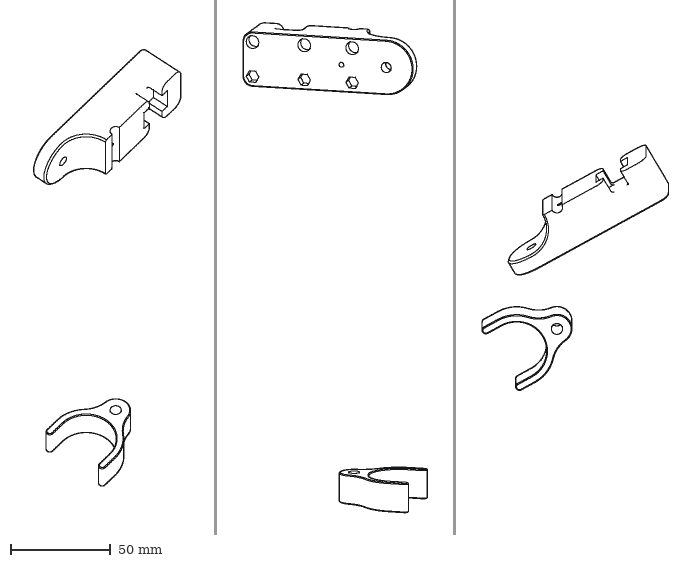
import cadquery as cq
import math

OVERALL_HEIGHT = 243.0
HINGE_DISTANCE = 23.3
HINGE_HOLE_DIAMETER = 5.5

BLOCK_THICKNESS = 23.0
BLOCK_HEIGHT = 28.0
BLOCK_REACH = 74.8
BLOCK_CORNER_RADIUS = 5.0
CRADLE_RADIUS = 15.0
BLOCK_EDGE_CHAMFER = 0.5
CRADLE_CHAMFER = 1.0

SLOT_WIDTH = 10.0
SLOT_DEPTH = 9.0
SLOT_CENTER_FROM_END = 20.0
SLOT_CORNER_RADIUS = 1.2
SLOT_LIP_RADIUS = 4.1
SLOT_RECESS_HEIGHT = 13.0

POCKET_DIAMETER = 6.5
POCKET_DEPTH = 5.0
POCKET_INSET = 5.0
FIRST_POCKET_SPACING = 27.0
SECOND_POCKET_SPACING = 25.0
PILOT_DIAMETER = 2.5
SCREW_DIAMETER = 5.0

CLIP_HEIGHT = 15.0
CLIP_BORE_RADIUS = 15.0
CLIP_WALL = 4.0
CLIP_LEG_LENGTH = 10.0
LUG_RADIUS = 7.5
LUG_BLEND_RADIUS = 16.0
CLIP_EDGE_CHAMFER = 0.5

MARGIN = 0.2

BLOCK_TOP = OVERALL_HEIGHT
BLOCK_BOTTOM = BLOCK_TOP - BLOCK_HEIGHT
BLOCK_MIDDLE = BLOCK_TOP - BLOCK_HEIGHT / 2
BLOCK_END_RADIUS = BLOCK_HEIGHT / 2
CLIP_OUTER_RADIUS = CLIP_BORE_RADIUS + CLIP_WALL


def hole_through_block(y, diameter):
    """Cylinder along X through the block at half its height."""
    return (
        cq.Workplane("YZ", origin=(-BLOCK_THICKNESS, y, BLOCK_MIDDLE))
        .circle(diameter / 2)
        .extrude(BLOCK_THICKNESS)
    )


def block_blank():
    """Bar with a full round end and two rounded corners."""
    square_end = (
        cq.Workplane("YZ", origin=(-BLOCK_THICKNESS, 0, 0))
        .moveTo(0, BLOCK_BOTTOM)
        .lineTo(BLOCK_REACH, BLOCK_BOTTOM)
        .lineTo(BLOCK_REACH, BLOCK_TOP)
        .lineTo(0, BLOCK_TOP)
        .threePointArc((-BLOCK_END_RADIUS, BLOCK_MIDDLE), (0, BLOCK_BOTTOM))
        .close()
        .extrude(BLOCK_THICKNESS)
    )
    rounded = square_end.edges("|X and >Y").fillet(BLOCK_CORNER_RADIUS)
    return rounded.faces("<X").chamfer(BLOCK_EDGE_CHAMFER)


def cut_cradle(body):
    """Quarter-round cradle with a straight run, open toward the round end, with chamfered edges."""
    diagonal = CRADLE_RADIUS * math.sqrt(0.5)
    cradle = (
        cq.Workplane("XY", origin=(0, 0, BLOCK_BOTTOM))
        .moveTo(0, CRADLE_RADIUS)
        .threePointArc((-diagonal, diagonal), (-CRADLE_RADIUS, 0))
        .lineTo(-CRADLE_RADIUS, -BLOCK_END_RADIUS)
        .lineTo(0, -BLOCK_END_RADIUS)
        .close()
        .extrude(BLOCK_HEIGHT)
    )
    cradle_edges = cq.selectors.BoxSelector(
        (-CRADLE_RADIUS - MARGIN, -BLOCK_END_RADIUS - MARGIN, BLOCK_BOTTOM - MARGIN),
        (-MARGIN, CRADLE_RADIUS, BLOCK_TOP + MARGIN),
    )
    return body.cut(cradle).edges(cradle_edges).edges("not(|Z)").chamfer(CRADLE_CHAMFER)


def cut_slot(body):
    """Slot through the height, open on +X, with rounded lips and a wider middle."""
    center_y = BLOCK_REACH - SLOT_CENTER_FROM_END
    slot = (
        cq.Workplane("XY", origin=(-SLOT_DEPTH / 2, center_y, BLOCK_BOTTOM))
        .rect(SLOT_DEPTH, SLOT_WIDTH)
        .extrude(BLOCK_HEIGHT)
        .edges("|Z and <X")
        .fillet(SLOT_CORNER_RADIUS)
    )
    lips = cq.selectors.BoxSelector(
        (-SLOT_DEPTH - MARGIN, center_y - SLOT_WIDTH / 2 - MARGIN, BLOCK_BOTTOM - MARGIN),
        (-MARGIN, center_y + SLOT_WIDTH / 2 + MARGIN, BLOCK_TOP + MARGIN),
    )
    slotted = body.cut(slot).edges(lips).edges("not(|Z)").fillet(SLOT_LIP_RADIUS)
    recess_width = SLOT_WIDTH + 2 * SLOT_LIP_RADIUS
    recess = cq.Workplane("XY", origin=(-SLOT_DEPTH / 2, center_y, BLOCK_MIDDLE)).box(
        SLOT_DEPTH, recess_width, SLOT_RECESS_HEIGHT
    )
    return slotted.cut(recess)


def hinge_pin_space(bottom, height):
    """Cylinder along Z on the hinge axis; only half of it lies inside the block."""
    return (
        cq.Workplane("XY", origin=(0, HINGE_DISTANCE, bottom))
        .circle(HINGE_HOLE_DIAMETER / 2)
        .extrude(height)
    )


def cut_fastener_rows(body):
    """Row of round head pockets near the top edge and of hexagonal nut pockets near the bottom edge."""
    first = BLOCK_REACH - POCKET_INSET
    second = first - FIRST_POCKET_SPACING
    third = second - SECOND_POCKET_SPACING
    mounting_face = cq.Workplane("YZ", origin=(-BLOCK_THICKNESS, 0, 0))
    heads = mounting_face.pushPoints([(y, BLOCK_TOP - POCKET_INSET) for y in (first, second, third)])
    nuts = mounting_face.pushPoints([(y, BLOCK_BOTTOM + POCKET_INSET) for y in (first, second, third)])
    body = body.cut(heads.circle(POCKET_DIAMETER / 2).extrude(POCKET_DEPTH))
    return body.cut(nuts.polygon(6, POCKET_DIAMETER).extrude(POCKET_DEPTH))


def make_block():
    """Mounting block: bar with cradle, slot, hinge groove and holes in the mounting face."""
    body = cut_cradle(block_blank())
    body = cut_slot(body)
    body = body.cut(hinge_pin_space(BLOCK_BOTTOM, BLOCK_HEIGHT))
    body = cut_fastener_rows(body)
    body = body.cut(hole_through_block(HINGE_DISTANCE, PILOT_DIAMETER))
    return body.cut(hole_through_block(0, SCREW_DIAMETER))


def make_clip():
    """U-shaped spring clip with round leg tips and a hinge lug blended into its back."""
    to_bore = CLIP_OUTER_RADIUS + LUG_BLEND_RADIUS
    to_lug = LUG_RADIUS + LUG_BLEND_RADIUS
    blend_y = (to_bore**2 - to_lug**2 + HINGE_DISTANCE**2) / (2 * HINGE_DISTANCE)
    blend_x = math.sqrt(to_bore**2 - blend_y**2)
    outer_x = blend_x * CLIP_OUTER_RADIUS / to_bore
    outer_y = blend_y * CLIP_OUTER_RADIUS / to_bore
    lug_x = blend_x * LUG_RADIUS / to_lug
    lug_y = HINGE_DISTANCE + (blend_y - HINGE_DISTANCE) * LUG_RADIUS / to_lug
    chord_x = (outer_x + lug_x) / 2 - blend_x
    chord_y = (outer_y + lug_y) / 2 - blend_y
    scale = LUG_BLEND_RADIUS / math.hypot(chord_x, chord_y)
    mid_x = blend_x + chord_x * scale
    mid_y = blend_y + chord_y * scale
    outer_angle = math.atan2(outer_y, outer_x) / 2
    arc_x = CLIP_OUTER_RADIUS * math.cos(outer_angle)
    arc_y = CLIP_OUTER_RADIUS * math.sin(outer_angle)

    tip_y = -CLIP_LEG_LENGTH
    straight_y = tip_y + CLIP_WALL / 2
    leg_x = CLIP_BORE_RADIUS + CLIP_WALL / 2
    profile = (
        cq.Workplane("XY")
        .moveTo(CLIP_OUTER_RADIUS, straight_y)
        .lineTo(CLIP_OUTER_RADIUS, 0)
        .threePointArc((arc_x, arc_y), (outer_x, outer_y))
        .threePointArc((mid_x, mid_y), (lug_x, lug_y))
        .threePointArc((0, HINGE_DISTANCE + LUG_RADIUS), (-lug_x, lug_y))
        .threePointArc((-mid_x, mid_y), (-outer_x, outer_y))
        .threePointArc((-arc_x, arc_y), (-CLIP_OUTER_RADIUS, 0))
        .lineTo(-CLIP_OUTER_RADIUS, straight_y)
        .threePointArc((-leg_x, tip_y), (-CLIP_BORE_RADIUS, straight_y))
        .lineTo(-CLIP_BORE_RADIUS, 0)
        .threePointArc((0, CLIP_BORE_RADIUS), (CLIP_BORE_RADIUS, 0))
        .lineTo(CLIP_BORE_RADIUS, straight_y)
        .threePointArc((leg_x, tip_y), (CLIP_OUTER_RADIUS, straight_y))
        .close()
    )
    body = profile.extrude(CLIP_HEIGHT).faces("|Z").chamfer(CLIP_EDGE_CHAMFER)
    return body.cut(hinge_pin_space(0, CLIP_HEIGHT))


block = make_block()
clip = make_clip()

result = cq.Compound.makeCompound([block.val(), clip.val()])